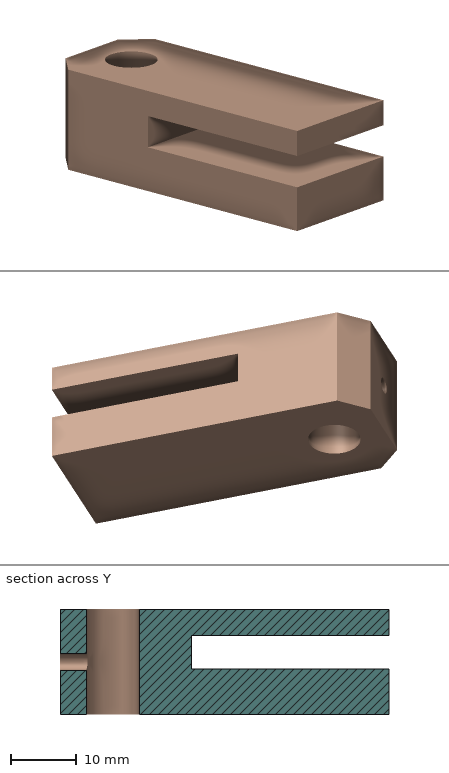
import cadquery as cq

length = 50.0
width = 20.0
height = 16.0
corner_chamfer = 4.0

pivot_diameter = 8.0
pivot_from_end = 8.0

slot_start = 20.0
slot_floor = 7.0
slot_height = 5.0

screw_diameter = 2.5


def make_block():
    """Block resting on Z = 0 with its two -X vertical corners chamfered."""
    block = cq.Workplane("XY").box(length, width, height, centered=(False, True, False))
    return block.faces("<X").edges("|Z").chamfer(corner_chamfer)


def make_pivot_hole():
    return cq.Workplane("XY").center(pivot_from_end, 0).circle(pivot_diameter / 2).extrude(height)


def make_slot():
    """Full-width slot, open at the +X end."""
    slot = cq.Workplane("XY").box(
        length - slot_start, width, slot_height, centered=(False, True, False)
    )
    return slot.translate((slot_start, 0, slot_floor))


def make_screw_hole():
    """Hole at mid height, ending inside the pivot hole."""
    end_face = cq.Workplane("YZ").center(0, height / 2)
    return end_face.circle(screw_diameter / 2).extrude(pivot_from_end)


result = make_block().cut(make_pivot_hole()).cut(make_slot()).cut(make_screw_hole())